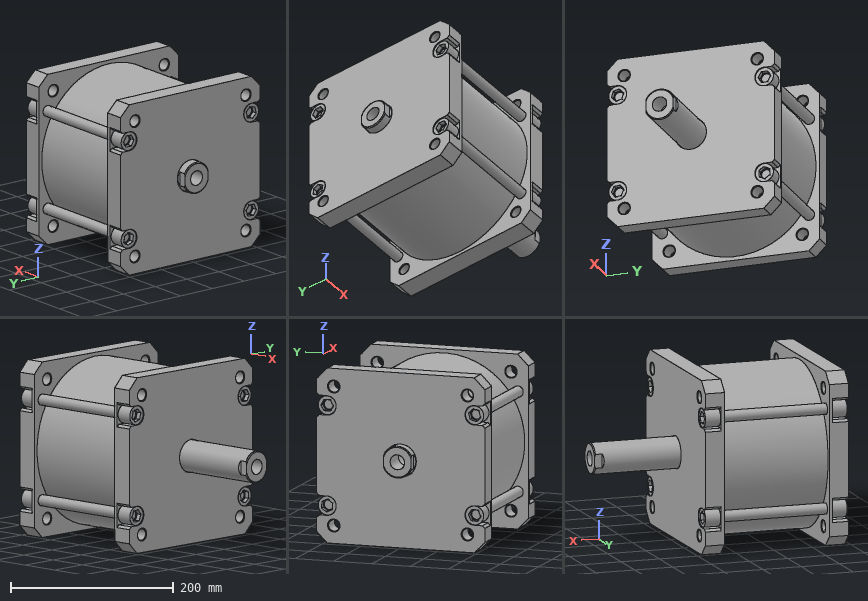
import cadquery as cq
import math


plate_side = 220.0
plate_thickness = 25.2
plate_corner_chamfer = 14.0
mount_hole_offset = 87.2
mount_hole_diameter = 14.3
mount_hole_chamfer = 1.0

barrel_diameter = 210.5
barrel_length = 136.7

shaft_length = 311.5
shaft_stub = 12.0
shaft_diameter = 40.0
shaft_end_chamfer = 1.2
shaft_hole_diameter = 41.0
flat_length = 10.0
flat_width = 35.8
bore_diameter = 18.7
bore_depth = 31.0
bore_tip_angle = 118.0

rod_offset_y = 96.3
rod_offset_z = 63.0
rod_diameter = 14.0
head_diameter = 23.7
head_length = 20.0
socket_sides = 6
socket_across_flats = 14.0
socket_depth = 6.2
relief_diameter = 12.5
relief_depth = 1.0
slot_width = 24.3
slot_depth = 21.0
slot_mouth_chamfer = 3.0

half_side = plate_side / 2
right_plate_start = plate_thickness + barrel_length
body_end = right_plate_start + plate_thickness
body_middle = body_end / 2
shaft_start = -shaft_stub
shaft_end = shaft_start + shaft_length
shaft_middle = (shaft_start + shaft_end) / 2
socket_turns = {
    (rod_offset_y, rod_offset_z): 0,
    (-rod_offset_y, rod_offset_z): 15,
    (rod_offset_y, -rod_offset_z): 35,
    (-rod_offset_y, -rod_offset_z): 5,
}
rod_places = list(socket_turns)
mount_places = [(y, z) for y in (-mount_hole_offset, mount_hole_offset)
                for z in (-mount_hole_offset, mount_hole_offset)]


def yz_plane(x):
    """Plane across the axis at x: local x is Y, local y is Z, normal is +X."""
    return cq.Workplane("YZ", origin=(x, 0, 0))


def mirrored(shape, x):
    """Copy of a shape, mirrored across the plane at x."""
    return shape.mirror("YZ", (x, 0, 0))


def head_slot(side, z):
    """Round-ended slot open to one Y side, with a chamfered mouth."""
    center_y = side * rod_offset_y
    edge_y = side * half_side
    flare_y = side * (half_side - slot_mouth_chamfer)
    half_width = slot_width / 2
    half_mouth = half_width + slot_mouth_chamfer
    return (
        yz_plane(0)
        .moveTo(center_y, z - half_width)
        .lineTo(flare_y, z - half_width)
        .lineTo(edge_y, z - half_mouth)
        .lineTo(edge_y, z + half_mouth)
        .lineTo(flare_y, z + half_width)
        .lineTo(center_y, z + half_width)
        .threePointArc((center_y - side * half_width, z), (center_y, z - half_width))
        .close()
        .extrude(slot_depth)
    )


def plate_holes(places, diameter):
    """Cutters for equal holes through the left plate at (Y, Z) places."""
    return yz_plane(0).pushPoints(places).circle(diameter / 2).extrude(plate_thickness)


def make_left_plate():
    """Square plate with cut corners, mounting holes, head slots, rod holes and shaft hole."""
    plate = (
        yz_plane(0)
        .rect(plate_side, plate_side)
        .extrude(plate_thickness)
        .edges("|X")
        .chamfer(plate_corner_chamfer)
    )
    plate = plate.cut(plate_holes(mount_places, mount_hole_diameter))
    plate = plate.edges("%CIRCLE").chamfer(mount_hole_chamfer)
    for y, z in rod_places:
        plate = plate.cut(head_slot(math.copysign(1, y), z))
    plate = plate.cut(plate_holes(rod_places, rod_diameter))
    return plate.cut(plate_holes([(0, 0)], shaft_hole_diameter))


def make_barrel():
    """Round body between the plates, bored for the shaft."""
    return (
        yz_plane(plate_thickness)
        .circle(barrel_diameter / 2)
        .circle(shaft_diameter / 2)
        .extrude(barrel_length)
    )


def end_bore():
    """Blind bore in the left shaft end, with a conical drill tip."""
    radius = bore_diameter / 2
    wall_end = shaft_start + bore_depth
    tip = wall_end + radius / math.tan(math.radians(bore_tip_angle / 2))
    profile = [(shaft_start, 0), (shaft_start, radius), (wall_end, radius), (tip, 0)]
    return cq.Workplane("XY").polyline(profile).close().revolve(360, (0, 0, 0), (1, 0, 0))


def end_flat():
    """Cutter for the -Y flat of the left shaft end; its inner end runs out at 45 degrees."""
    flat_y = -flat_width / 2
    outer_y = -shaft_diameter / 2
    flat_end = shaft_start + flat_length
    runout_end = flat_end + (flat_y - outer_y)
    profile = [(shaft_start, flat_y), (flat_end, flat_y), (runout_end, outer_y), (shaft_start, outer_y)]
    return cq.Workplane("XY").polyline(profile).close().extrude(shaft_diameter / 2, both=True)


def make_shaft():
    """Through shaft; both ends have a bore, two flats and a chamfered rim."""
    shaft = (
        yz_plane(shaft_start)
        .circle(shaft_diameter / 2)
        .extrude(shaft_length)
        .edges("%CIRCLE")
        .chamfer(shaft_end_chamfer)
    )
    flat = end_flat()
    for cutter in (end_bore(), flat, flat.mirror("XZ")):
        shaft = shaft.cut(cutter).cut(mirrored(cutter, shaft_middle))
    return shaft


def make_tie_rod(y, z, socket_turn):
    """Rod with a socket head at each end, each seated on its slot floor."""
    head_start = slot_depth - head_length
    socket_circle = socket_across_flats / math.cos(math.pi / socket_sides)
    rod = yz_plane(slot_depth).circle(rod_diameter / 2).extrude(body_end - 2 * slot_depth)
    head = yz_plane(head_start).circle(head_diameter / 2).extrude(head_length)
    socket = yz_plane(head_start).polygon(socket_sides, socket_circle).extrude(socket_depth)
    relief = yz_plane(head_start).circle(relief_diameter / 2).extrude(socket_depth + relief_depth)
    head = head.cut(socket).cut(relief).rotate((0, 0, 0), (1, 0, 0), socket_turn)
    tie_rod = rod.union(head).union(mirrored(head, body_middle))
    return tie_rod.translate((0, y, z))


left_plate = make_left_plate()
right_plate = mirrored(left_plate, body_middle)
barrel = make_barrel()
shaft = make_shaft()
tie_rods = [make_tie_rod(y, z, turn) for (y, z), turn in socket_turns.items()]

result = cq.Compound.makeCompound(
    [left_plate.val(), right_plate.val(), barrel.val(), shaft.val(), *[rod.val() for rod in tie_rods]]
)